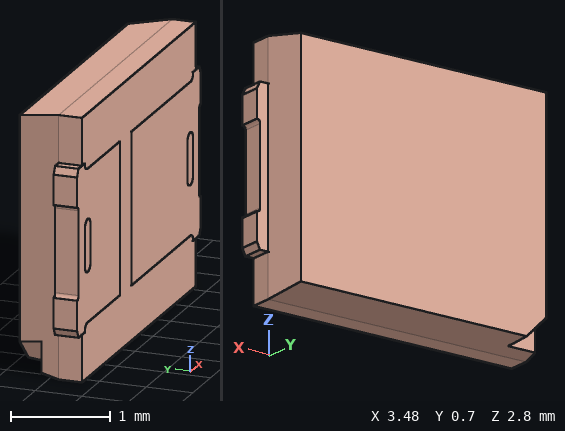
import cadquery as cq
import math


housing_width = 3.2
housing_height = 2.8
total_depth = 0.7
base_depth = 0.25
draft_angle = 10.0

mark_leg = 0.245
mark_depth = 0.25

terminal_depth = base_depth
terminal_reach = 1.74
left_inner_edge = -0.54
right_inner_edge = -0.212
pad_half_height = 0.815
tab_half_height = 0.895
tab_inner_reach = 1.525
tab_fillet = 0.075
chamfer_width = 0.04
chamfer_height = 0.08
notch_half_height = 0.49
notch_depth = 0.042

slot_reach = 1.44
slot_width = 0.16
slot_length = 0.56

FACE = "XZ"


def make_terminal_outline(side, inner_edge):
    """Terminal outline on the outward side (-1 or +1), ending at x = inner_edge."""
    arc_middle = math.sqrt(0.5)
    outer_x = side * terminal_reach
    chamfer_x = side * (terminal_reach - chamfer_width)
    notch_x = side * (terminal_reach - notch_depth)
    tab_x = side * tab_inner_reach
    fillet_x = side * (tab_inner_reach - tab_fillet)
    fillet_middle_x = fillet_x + side * tab_fillet * arc_middle
    fillet_top = pad_half_height + tab_fillet
    fillet_middle_z = fillet_top - tab_fillet * arc_middle
    round_end_z = notch_half_height - notch_depth
    round_middle_x = outer_x - side * notch_depth * arc_middle
    round_middle_z = round_end_z + notch_depth * arc_middle

    return (
        cq.Workplane(FACE)
        .moveTo(inner_edge, pad_half_height)
        .lineTo(fillet_x, pad_half_height)
        .threePointArc((fillet_middle_x, fillet_middle_z), (tab_x, fillet_top))
        .lineTo(tab_x, tab_half_height)
        .lineTo(chamfer_x, tab_half_height)
        .lineTo(outer_x, tab_half_height - chamfer_height)
        .lineTo(outer_x, notch_half_height)
        .threePointArc((round_middle_x, round_middle_z), (notch_x, round_end_z))
        .lineTo(notch_x, -round_end_z)
        .threePointArc((round_middle_x, -round_middle_z), (outer_x, -notch_half_height))
        .lineTo(outer_x, chamfer_height - tab_half_height)
        .lineTo(chamfer_x, -tab_half_height)
        .lineTo(tab_x, -tab_half_height)
        .lineTo(tab_x, -fillet_top)
        .threePointArc((fillet_middle_x, -fillet_middle_z), (fillet_x, -pad_half_height))
        .lineTo(inner_edge, -pad_half_height)
        .close()
    )


def make_terminal(side, inner_edge):
    """Flat terminal with a round-ended slot near its outer end."""
    plate = make_terminal_outline(side, inner_edge).extrude(-terminal_depth)
    slot = (
        cq.Workplane(FACE)
        .center(side * slot_reach, 0)
        .slot2D(slot_length, slot_width, 90)
        .extrude(-terminal_depth)
    )
    return plate.cut(slot)


def make_polarity_mark():
    """Triangular prism that cuts the -X, -Z corner of the far face."""
    taper_inset = (total_depth - base_depth) * math.tan(math.radians(draft_angle))
    corner_x = -housing_width / 2
    corner_z = -housing_height / 2
    leg = mark_leg + 2 * taper_inset
    return (
        cq.Workplane(FACE, origin=(0, total_depth, 0))
        .polyline([(corner_x, corner_z), (corner_x + leg, corner_z), (corner_x, corner_z + leg)])
        .close()
        .extrude(mark_depth)
    )


def make_housing(terminals):
    """Straight base and drafted upper part, recessed to fit the terminals."""
    base = cq.Workplane(FACE).rect(housing_width, housing_height).extrude(-base_depth)
    upper = (
        cq.Workplane(FACE, origin=(0, base_depth, 0))
        .rect(housing_width, housing_height)
        .extrude(base_depth - total_depth, taper=draft_angle)
    )
    body = base.union(upper).cut(make_polarity_mark())
    for terminal in terminals:
        body = body.cut(terminal)
    return body


terminals = [
    make_terminal(side, inner_edge)
    for side, inner_edge in ((-1, left_inner_edge), (1, right_inner_edge))
]
housing = make_housing(terminals)

result = cq.Compound.makeCompound([housing.val(), *[terminal.val() for terminal in terminals]])